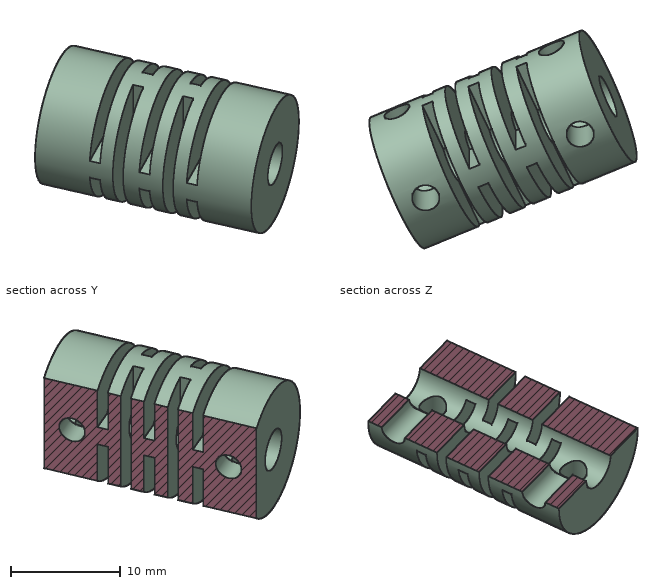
import cadquery as cq

LENGTH = 21.0
OUTER_DIAMETER = 13.0
BORE_DIAMETER = 4.0

SLOT_WIDTH = 1.0
WEB_WIDTH = 1.97

TOP_AND_BOTTOM_SLOT_STARTS = (5.3, 10.1, 14.7)
FRONT_SLOT_STARTS = (7.55, 12.41)
BACK_SLOT_STARTS = (7.77, 12.41)

SCREW_HOLE_DIAMETER = 2.5
SCREW_HOLE_INSET = 2.77

OUTER_RADIUS = OUTER_DIAMETER / 2
SLOT_DEPTH = OUTER_RADIUS - WEB_WIDTH / 2

TOP, FRONT, BOTTOM, BACK = 0, 90, 180, 270


def slot_cutter(start, side):
    """Slot across the full width, cut inward from one side down to the web."""
    return (
        cq.Workplane("XY")
        .box(SLOT_WIDTH, OUTER_DIAMETER, SLOT_DEPTH, centered=(False, True, False))
        .translate((start - LENGTH / 2, 0, WEB_WIDTH / 2))
        .rotate((0, 0, 0), (1, 0, 0), side)
    )


def screw_hole_cutter(x, side):
    """Radial hole from the axis out through one side."""
    return (
        cq.Workplane("XY")
        .center(x, 0)
        .circle(SCREW_HOLE_DIAMETER / 2)
        .extrude(OUTER_RADIUS)
        .rotate((0, 0, 0), (1, 0, 0), side)
    )


result = (
    cq.Workplane("YZ")
    .circle(OUTER_RADIUS)
    .circle(BORE_DIAMETER / 2)
    .extrude(LENGTH / 2, both=True)
)

slot_starts_by_side = {
    TOP: TOP_AND_BOTTOM_SLOT_STARTS,
    BOTTOM: TOP_AND_BOTTOM_SLOT_STARTS,
    FRONT: FRONT_SLOT_STARTS,
    BACK: BACK_SLOT_STARTS,
}
for slot_side, starts in slot_starts_by_side.items():
    for slot_start in starts:
        result = result.cut(slot_cutter(slot_start, slot_side))

screw_x = LENGTH / 2 - SCREW_HOLE_INSET
for hole_x in (-screw_x, screw_x):
    for hole_side in (BOTTOM, BACK):
        result = result.cut(screw_hole_cutter(hole_x, hole_side))